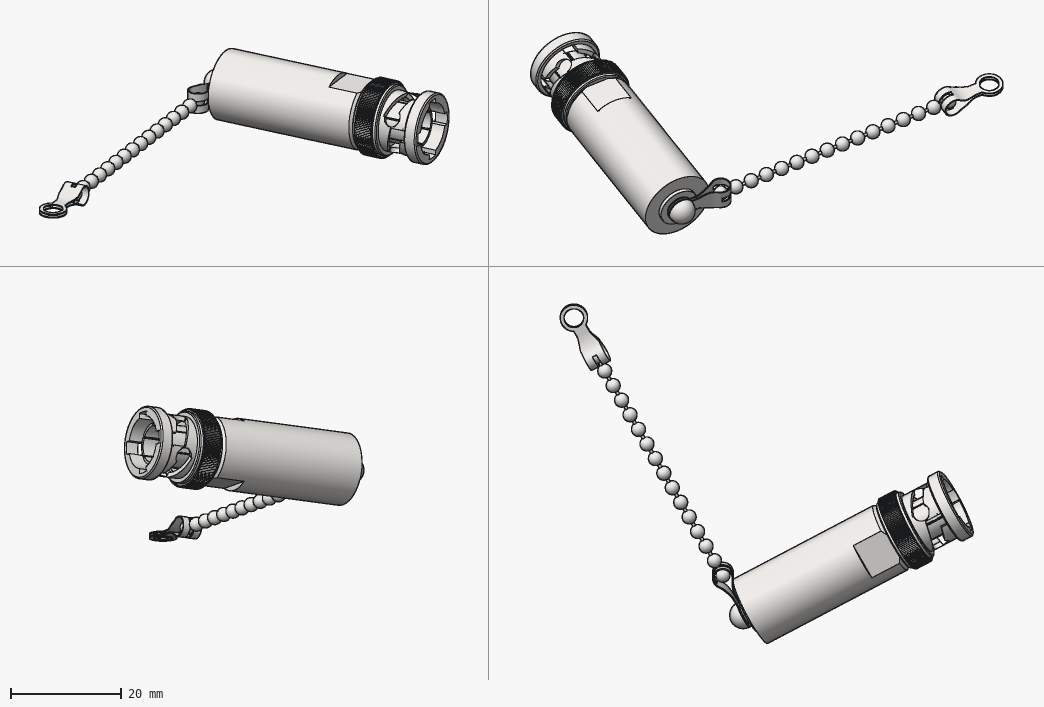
import cadquery as cq
import math


housing_radius = 6.65
housing_length = 29.6
end_chamfer_length = 0.65
end_chamfer_depth = 0.6
flat_start = 23.2
flat_height = 5.65
boss_radius = 3.8
boss_height = 0.72
stem_radius = 3.92
stem_end = 40.5
sleeve_bore_radius = 3.4
finger_slit_count = 6
finger_slit_width = 0.25

rim_radius = housing_radius
rim_chamfer = 0.2
knurl_start = 30.3
knurl_end = 33.8
knurl_radius = 14.47 / 2
knurl_depth = 0.3
tooth_count = 132
knurl_chamfer = 0.2
hub_end = 34.5
barrel_radius = 5.7
barrel_bore_radius = 4.83
ring_start = 40.2
ring_chamfer = 0.25

slot_count = 4
slot_angle = 360 / slot_count
slot_width = 2.4
ramp_lead = 0.29
ramp_start_side = -4.78
lock_side = 1.35
lock_radius = 1.55
lock_x = 36.9
ramp_end_x = 36.4

strip_thickness = 0.22
strip_gap = 0.4
clasp_thickness = strip_gap + 2 * strip_thickness
eye_radius = 2.5
eye_hole_radius = 1.78
loop_radius = 1.9
loop_center = 8.42
bend_start = 3.7
taper_end = 5.9
neck_half_width = 1.25
loop_half_width = 1.93
neck_slot_width = 0.85
neck_slot_start = 7.74

bead_radius = 1.3
link_radius = 0.3
bead_count = 16
total_reach = 74.23 - knurl_radius
far_eye_y = -(total_reach - eye_radius)
first_bead_y = -loop_center
last_bead_y = far_eye_y + loop_center
bead_pitch = (first_bead_y - last_bead_y) / (bead_count - 1)

head_radius = 2.5
shank_depth = 3.0
clasp_x = -boss_height - clasp_thickness / 2
head_base_x = -boss_height - clasp_thickness

coupling_end = 46.71 + head_base_x - head_radius


def cylinder(start_x, end_x, radius):
    return cq.Workplane("YZ", origin=(start_x, 0, 0)).circle(radius).extrude(end_x - start_x)


def make_housing():
    profile = [
        (0, 0),
        (0, housing_radius),
        (housing_length - end_chamfer_length, housing_radius),
        (housing_length, housing_radius - end_chamfer_depth),
        (housing_length, 0),
    ]
    housing = cq.Workplane("XY").polyline(profile).close().revolve(360, (0, 0, 0), (1, 0, 0))
    flat_length = housing_length - flat_start
    for side in (-1, 1):
        cutter = cq.Workplane("XY").box(
            flat_length, 2 * housing_radius, housing_radius, centered=(False, True, True)
        )
        lift = side * (flat_height + housing_radius / 2)
        housing = housing.cut(cutter.translate((flat_start, 0, lift)))
    housing = housing.union(cylinder(-boss_height, 0, boss_radius))
    housing = housing.union(cylinder(housing_length, stem_end, stem_radius))
    housing = housing.cut(cylinder(hub_end, stem_end, sleeve_bore_radius))
    slit = cq.Workplane("XY").box(
        stem_end - hub_end, finger_slit_width, 2 * stem_radius, centered=(False, True, False)
    )
    slit = slit.translate((hub_end, 0, 0))
    for i in range(finger_slit_count):
        housing = housing.cut(slit.rotate((0, 0, 0), (1, 0, 0), i * 360 / finger_slit_count))
    return housing.cut(cylinder(-boss_height, shank_depth, eye_hole_radius))


def make_knurl():
    """Band with straight V-shaped teeth."""
    points = []
    half_pitch = math.pi / tooth_count
    for i in range(2 * tooth_count):
        radius = knurl_radius - knurl_depth * (i % 2)
        points.append((radius * math.cos(i * half_pitch), radius * math.sin(i * half_pitch)))
    band = cq.Workplane("YZ", origin=(knurl_start, 0, 0)).polyline(points).close()
    envelope = cylinder(knurl_start, knurl_end, knurl_radius).faces("<X or >X").chamfer(knurl_chamfer)
    return band.extrude(knurl_end - knurl_start).intersect(envelope)


def make_bayonet_slot():
    """Entry groove on the +Z side, then a ramp toward -Y ending in a round locking hole."""
    ramp_start_x = ramp_end_x + ramp_lead * (lock_side - ramp_start_side)
    half_ramp = slot_width * math.hypot(1, ramp_lead) / 2
    entry = cq.Workplane("XY").box(
        coupling_end - ramp_start_x, slot_width, barrel_radius, centered=(False, True, False)
    )
    entry = entry.translate((ramp_start_x, 0, 0)).intersect(cylinder(0, coupling_end, barrel_radius))
    ramp = (
        cq.Workplane("XY")
        .polyline([
            (ramp_start_x - half_ramp, -ramp_start_side),
            (ramp_start_x + half_ramp, -ramp_start_side),
            (ramp_end_x + half_ramp, -lock_side),
            (ramp_end_x - half_ramp, -lock_side),
        ])
        .close()
        .extrude(housing_radius)
    )
    lock = cq.Workplane("XY").center(lock_x, -lock_side).circle(lock_radius).extrude(housing_radius)
    ramp_and_lock = ramp.union(lock).rotate((0, 0, 0), (1, 0, 0), slot_angle / 2)
    return entry.union(ramp_and_lock)


def make_coupling():
    hub = cylinder(housing_length, hub_end, rim_radius).faces("<X or >X").chamfer(rim_chamfer)
    ring = cylinder(ring_start, coupling_end, rim_radius).faces("<X or >X").chamfer(ring_chamfer)
    coupling = hub.union(make_knurl()).union(cylinder(hub_end, ring_start, barrel_radius)).union(ring)
    coupling = coupling.cut(cylinder(housing_length, hub_end, stem_radius))
    coupling = coupling.cut(cylinder(hub_end, coupling_end, barrel_bore_radius))
    slot = make_bayonet_slot()
    for i in range(slot_count):
        coupling = coupling.cut(slot.rotate((0, 0, 0), (1, 0, 0), i * slot_angle))
    return coupling


def loop_outline(inset):
    """Side outline of the clasp, the given distance inside its outer surface.

    Two straight leaves bend apart along concave arcs that run tangent into the round loop.
    """
    leaf = clasp_thickness / 2 - inset
    radius = loop_radius - inset
    run = loop_center - bend_start
    bend_radius = (run**2 + leaf**2 - radius**2) / (2 * (radius - leaf))
    rise = leaf + bend_radius
    share = radius / (radius + bend_radius)
    join = (loop_center - run * share, rise * share)
    half_turn = math.atan2(run, rise) / 2
    bend_mid = (
        bend_start + bend_radius * math.sin(half_turn),
        rise - bend_radius * math.cos(half_turn),
    )
    return (
        cq.Workplane("XY")
        .moveTo(-eye_radius, -leaf)
        .lineTo(-eye_radius, leaf)
        .lineTo(bend_start, leaf)
        .threePointArc(bend_mid, join)
        .threePointArc((loop_center + radius, 0), (join[0], -join[1]))
        .threePointArc((bend_mid[0], -bend_mid[1]), (bend_start, -leaf))
        .close()
        .extrude(loop_half_width + eye_radius, both=True)
    )


def make_clasp():
    """Clasp with its eye at the origin and its loop along +X; the leaves face +Y and -Y."""
    loop_end = loop_center + loop_radius
    strip = loop_outline(0).cut(loop_outline(strip_thickness))
    plan = (
        cq.Workplane("XZ")
        .polyline([
            (0, neck_half_width),
            (bend_start, neck_half_width),
            (taper_end, loop_half_width),
            (loop_end, loop_half_width),
            (loop_end, -loop_half_width),
            (taper_end, -loop_half_width),
            (bend_start, -neck_half_width),
            (0, -neck_half_width),
        ])
        .close()
        .extrude(loop_radius, both=True)
    )
    eye = cq.Workplane("XZ").circle(eye_radius).extrude(loop_radius, both=True)
    eye_hole = cq.Workplane("XZ").circle(eye_hole_radius).extrude(loop_radius, both=True)
    neck_slot = cq.Workplane("XY").box(
        loop_end - neck_slot_start, 2 * loop_radius, neck_slot_width, centered=(False, True, True)
    )
    clasp = strip.intersect(plan.union(eye)).cut(eye_hole)
    return clasp.cut(neck_slot.translate((neck_slot_start, 0, 0)))


def make_chain():
    length = first_bead_y - last_bead_y
    chain = cq.Workplane("XZ", origin=(clasp_x, first_bead_y, 0)).circle(link_radius).extrude(length)
    for i in range(bead_count):
        bead = cq.Workplane("XY").sphere(bead_radius)
        chain = chain.union(bead.translate((clasp_x, first_bead_y - i * bead_pitch, 0)))
    return chain


def make_rivet():
    head = cq.Workplane("XY").sphere(head_radius).translate((head_base_x, 0, 0))
    head = head.intersect(cylinder(head_base_x - head_radius, head_base_x, head_radius))
    return head.union(cylinder(head_base_x, shank_depth, eye_hole_radius))


housing = make_housing()
coupling = make_coupling()
chain = make_chain()
rivet = make_rivet()

clasp = make_clasp()
near_clasp = clasp.rotate((0, 0, 0), (0, 0, 1), -90).translate((clasp_x, 0, 0))
far_clasp = (
    clasp.rotate((0, 0, 0), (0, 0, 1), 90)
    .rotate((0, 0, 0), (0, 1, 0), 90)
    .translate((clasp_x, far_eye_y, 0))
)

result = cq.Compound.makeCompound([
    housing.val(),
    coupling.val(),
    rivet.val(),
    near_clasp.val(),
    chain.val(),
    far_clasp.val(),
])